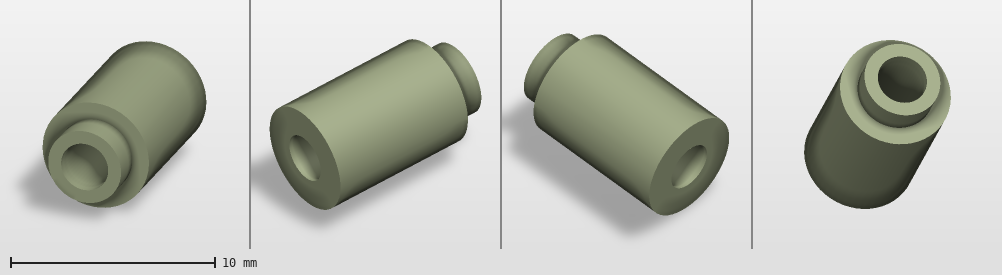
import cadquery as cq

total_length = 9.52
spigot_length = 1.54
body_diameter = 5.56
spigot_diameter = 3.81
bore_diameter = 2.47

body_length = total_length - spigot_length


def cylinder_along_y(diameter, start_y, length):
    """Solid cylinder on the Y axis, running from start_y toward +Y."""
    base_center = cq.Vector(0, start_y, 0)
    y_direction = cq.Vector(0, 1, 0)
    return cq.Workplane(cq.Solid.makeCylinder(diameter / 2, length, base_center, y_direction))


spigot = cylinder_along_y(spigot_diameter, 0, spigot_length)
body = cylinder_along_y(body_diameter, spigot_length, body_length)

bore = cylinder_along_y(bore_diameter, 0, total_length)

result = body.union(spigot).cut(bore)